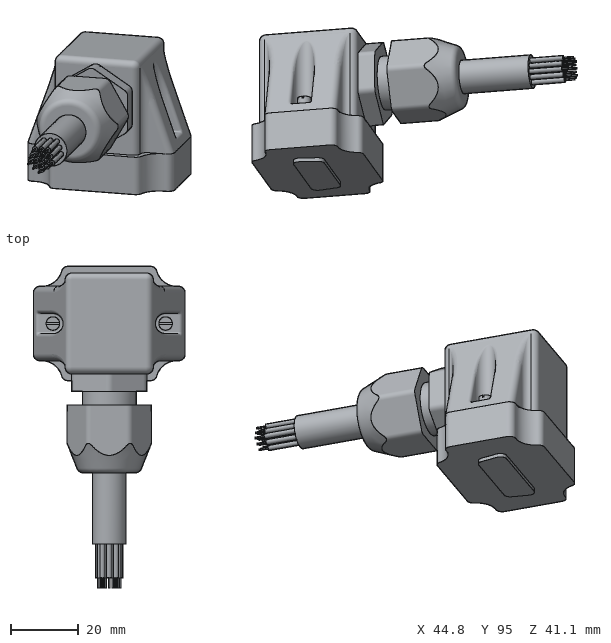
import cadquery as cq
import math


overall_length = 95
round_radius = 2.0

base_half_width = 22.4
base_half_depth = 16.9
base_height = 11.5
ear_half_depth = 11.0
waist_radius = 6.0
waist_x = 19.9
waist_y = ear_half_depth + waist_radius

plug_half_width = 13.5
plug_half_depth = 4.6
plug_depth = 1.1
plug_side_angle = 10

hood_half_width = 13.0
hood_half_depth = 14.9
hood_top = 40.0
shoulder_top = hood_top - round_radius
shoulder_run = base_half_width - hood_half_width
shoulder_rise = shoulder_top - base_height
slope_normal = cq.Vector(shoulder_rise, 0, shoulder_run)
shoulder_apex_x = hood_half_width - shoulder_run / 2
shoulder_apex_z = shoulder_top + shoulder_rise / 2

screw_x = 16.6
screw_diameter = 4.0
screw_top = 17.3
screw_slot_width = 0.5
screw_slot_depth = 0.6
pocket_width = 6.0
pocket_floor = 14.3
pocket_floor_radius = 0.5
pocket_mouth_radius = round_radius / 2

edge_margin = 0.01

gland_z = 26.0
locknut_length = 5.1
locknut_half_width = 11.1
locknut_corner_height = 13.0
locknut_side_corner_height = 6.1
neck_diameter = 16.0
neck_length = 4.0
cap_length = 20.0
cap_across_flats = 22.1
cap_sides = 6
cap_cone_length = 9.6
cap_cone_start_radius = 12.8
cap_cone_end_radius = 9.0

cable_diameter = 10.0
cable_length = 21.0
wire_diameter = 1.5
wire_length = 10.0
conductor_diameter = 0.5
wires_per_ring = 5
wire_rings = ((1.7, -90), (2.85, 90), (3.4, -90))

locknut_end = -hood_half_depth - locknut_length
neck_end = locknut_end - neck_length
cap_end = neck_end - cap_length
cable_end = cap_end - cable_length
wire_end = cable_end - wire_length
conductor_end = base_half_depth - overall_length


def mirrored_x(solid):
    """Both sides of a feature modelled at +X."""
    return solid.union(solid.mirror("YZ"))


def box_between(x_range, y_range, z_range):
    """Box spanning three coordinate ranges."""
    sizes = [high - low for low, high in (x_range, y_range, z_range)]
    corner = (x_range[0], y_range[0], z_range[0])
    return cq.Workplane("XY").box(*sizes, centered=False).translate(corner)


def rod(radius, start_y, end_y, x=0, z=gland_z):
    """Cylinder running in -Y from start_y to end_y."""
    return cq.Workplane("XZ", origin=(x, start_y, z)).circle(radius).extrude(start_y - end_y)


def make_base():
    """Block with two ears, joined to its wider middle by concave quarter rounds."""
    ears = box_between(
        (-base_half_width, base_half_width), (-ear_half_depth, ear_half_depth), (0, base_height)
    )
    ears = ears.edges("|Z").fillet(round_radius)
    middle = box_between((-waist_x, waist_x), (-base_half_depth, base_half_depth), (0, base_height))
    waist_cuts = (
        cq.Workplane("XY")
        .rect(2 * waist_x, 2 * waist_y, forConstruction=True)
        .vertices()
        .circle(waist_radius)
        .extrude(base_height)
    )
    base = ears.union(middle).cut(waist_cuts)
    return base.faces("<Y or >Y").edges("|Z").fillet(round_radius)


def make_plug():
    taper = 2 * plug_half_depth * math.tan(math.radians(plug_side_angle))
    outline = [
        (-plug_half_width, plug_half_depth),
        (plug_half_width, plug_half_depth),
        (plug_half_width - taper, -plug_half_depth),
        (-plug_half_width + taper, -plug_half_depth),
    ]
    return cq.Workplane("XY").polyline(outline).close().extrude(-plug_depth).edges("|Z").fillet(round_radius)


def make_hood():
    hood = box_between(
        (-hood_half_width, hood_half_width), (-hood_half_depth, hood_half_depth), (base_height, hood_top)
    )
    return hood.edges("|Z").fillet(round_radius).faces(">Z").edges().fillet(round_radius)


def make_shoulder():
    """Sloping +X shoulder whose sides flare out to meet the hood."""
    flare_x = hood_half_width + round_radius
    flare_y = ear_half_depth + round_radius
    plan = (
        cq.Workplane("XY", origin=(0, 0, base_height))
        .moveTo(0, -flare_y)
        .lineTo(hood_half_width, -flare_y)
        .radiusArc((flare_x, -ear_half_depth), round_radius)
        .lineTo(base_half_width, -ear_half_depth)
        .lineTo(base_half_width, ear_half_depth)
        .lineTo(flare_x, ear_half_depth)
        .radiusArc((hood_half_width, flare_y), round_radius)
        .lineTo(0, flare_y)
        .close()
        .extrude(hood_top)
    )
    slope_outline = [
        (0, base_height),
        (base_half_width, base_height),
        (shoulder_apex_x, shoulder_apex_z),
        (0, shoulder_apex_z),
    ]
    slope = cq.Workplane("XZ").polyline(slope_outline).close().extrude(hood_half_depth, both=True)
    shoulder = plan.intersect(slope)
    sloping_face = shoulder.faces(cq.selectors.DirectionMinMaxSelector(slope_normal))
    visible_zone = cq.selectors.BoxSelector(
        (hood_half_width - edge_margin, -hood_half_depth, base_height),
        (base_half_width, hood_half_depth, shoulder_top),
    )
    shoulder = sloping_face.edges("not |Y").edges(visible_zone).fillet(round_radius)
    below_top = box_between(
        (0, base_half_width), (-hood_half_depth, hood_half_depth), (base_height, shoulder_top)
    )
    return shoulder.intersect(below_top)


def make_pocket():
    """Round-backed tool for the +X screw pocket, open towards +X and upwards."""
    opening = box_between(
        (screw_x, base_half_width), (-pocket_width / 2, pocket_width / 2), (pocket_floor, shoulder_top)
    )
    back = (
        cq.Workplane("XY", origin=(screw_x, 0, pocket_floor))
        .circle(pocket_width / 2)
        .extrude(shoulder_top - pocket_floor)
    )
    return opening.union(back).faces("<Z").edges("not >X").fillet(pocket_floor_radius)


def make_screw():
    head = (
        cq.Workplane("XY", origin=(screw_x, 0, pocket_floor))
        .circle(screw_diameter / 2)
        .extrude(screw_top - pocket_floor)
    )
    slot = (
        cq.Workplane("XY", origin=(screw_x, 0, screw_top))
        .rect(screw_diameter, screw_slot_width)
        .extrude(-screw_slot_depth)
    )
    return head.cut(slot)


def make_housing():
    housing = make_hood().union(mirrored_x(make_shoulder())).cut(mirrored_x(make_pocket()))
    for direction in (1, -1):
        normal = cq.Vector(direction * shoulder_rise, 0, shoulder_run)
        mouth_zone = cq.selectors.BoxSelector(
            (0, -pocket_width, pocket_floor - edge_margin),
            (direction * base_half_width, pocket_width, shoulder_top - edge_margin),
        )
        mouth = housing.faces(cq.selectors.DirectionMinMaxSelector(normal)).edges(mouth_zone)
        housing = mouth.fillet(pocket_mouth_radius)
    return make_base().union(housing).union(mirrored_x(make_screw())).union(make_plug())


def make_locknut():
    """Slightly tall hexagonal nut with its lowest corner left sharp."""
    corners = [
        (0, locknut_corner_height),
        (locknut_half_width, locknut_side_corner_height),
        (locknut_half_width, -locknut_side_corner_height),
        (0, -locknut_corner_height),
        (-locknut_half_width, -locknut_side_corner_height),
        (-locknut_half_width, locknut_side_corner_height),
    ]
    nut = (
        cq.Workplane("XZ", origin=(0, -hood_half_depth, gland_z))
        .polyline(corners)
        .close()
        .extrude(locknut_length)
    )
    return nut.edges("|Y").edges("not <Z").fillet(round_radius)


def make_cap():
    """Hexagonal cap nut, flat side up, whose front tapers to a rounded rim."""
    hexagon = (
        cq.Workplane("XZ", origin=(0, neck_end, gland_z))
        .transformed(rotate=(0, 0, 180 / cap_sides))
        .polygon(cap_sides, cap_across_flats, circumscribed=True)
        .extrude(cap_length)
    )
    hexagon = hexagon.edges("|Y").fillet(round_radius)
    envelope = (
        cq.Workplane("XY")
        .polyline([
            (0, neck_end),
            (cap_cone_start_radius, neck_end),
            (cap_cone_start_radius, cap_end + cap_cone_length),
            (cap_cone_end_radius, cap_end),
            (0, cap_end),
        ])
        .close()
        .revolve(360, (0, 0, 0), (0, 1, 0))
        .faces("<Y")
        .edges()
        .fillet(round_radius)
        .translate((0, 0, gland_z))
    )
    return hexagon.intersect(envelope)


def make_wires():
    """One wire in the middle of the cable and rings of wires around it."""
    places = [(0, gland_z)]
    for ring_radius, first_angle in wire_rings:
        for index in range(wires_per_ring):
            angle = math.radians(first_angle + index * 360 / wires_per_ring)
            places.append((ring_radius * math.cos(angle), gland_z + ring_radius * math.sin(angle)))
    wires = cq.Workplane("XY")
    for x, z in places:
        wires = wires.add(rod(wire_diameter / 2, cable_end, wire_end, x, z))
        wires = wires.add(rod(conductor_diameter / 2, wire_end, conductor_end, x, z))
    return wires.combine()


result = (
    make_housing()
    .union(make_locknut())
    .union(rod(neck_diameter / 2, locknut_end, neck_end))
    .union(make_cap())
    .union(rod(cable_diameter / 2, cap_end, cable_end))
    .union(make_wires())
)